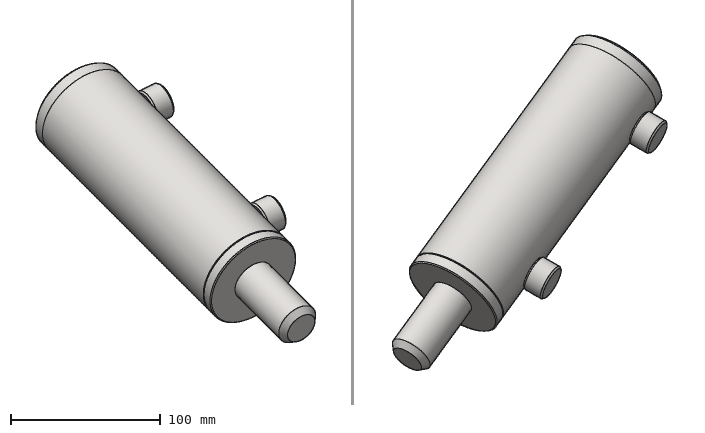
import cadquery as cq

TOTAL_LENGTH = 260.0
BODY_DIAMETER = 70.0
BODY_RADIUS = BODY_DIAMETER / 2

REAR_CAP_LENGTH = 9.5
GLAND_START = 196.0
GLAND_END = 204.5

REAR_CAP_CHAMFER = 1.8
GLAND_CHAMFER = 0.8

ROD_RADIUS = 15.0
ROD_CHAMFER_LENGTH = 4.7
ROD_CHAMFER_DEPTH = 4.0

PORT_RADIUS = 12.5
PORT_HEIGHT = 15.0
PORT_CHAMFER_LENGTH = 1.3
PORT_CHAMFER_DEPTH = 1.0
PORT_POSITIONS = (30.0, 160.0)


def axial_cylinder(start, end, radius):
    """Solid cylinder along X from start to end."""
    return cq.Workplane("YZ", origin=(start, 0, 0)).circle(radius).extrude(end - start)


def make_rear_cap():
    """End cap with a chamfered outer rim."""
    cap = axial_cylinder(0, REAR_CAP_LENGTH, BODY_RADIUS)
    return cap.faces("<X").chamfer(REAR_CAP_CHAMFER)


def make_barrel():
    """Plain barrel between the rear cap and the gland."""
    return axial_cylinder(REAR_CAP_LENGTH, GLAND_START, BODY_RADIUS)


def make_gland():
    """Front gland with both rims chamfered."""
    gland = axial_cylinder(GLAND_START, GLAND_END, BODY_RADIUS)
    return gland.edges().chamfer(GLAND_CHAMFER)


def make_rod():
    """Rod projecting from the gland, with a tapered tip."""
    tip_radius = ROD_RADIUS - ROD_CHAMFER_DEPTH
    taper_start = TOTAL_LENGTH - ROD_CHAMFER_LENGTH
    return (
        cq.Workplane("XY")
        .moveTo(GLAND_END, 0)
        .lineTo(GLAND_END, ROD_RADIUS)
        .lineTo(taper_start, ROD_RADIUS)
        .lineTo(TOTAL_LENGTH, tip_radius)
        .lineTo(TOTAL_LENGTH, 0)
        .close()
        .revolve(360, (0, 0, 0), (1, 0, 0))
    )


def make_port(x_position):
    """Round boss resting on the barrel's +Y line, both rims chamfered."""
    base = BODY_RADIUS
    top = base + PORT_HEIGHT
    rim_radius = PORT_RADIUS - PORT_CHAMFER_DEPTH
    return (
        cq.Workplane("XY")
        .moveTo(0, base)
        .lineTo(rim_radius, base)
        .lineTo(PORT_RADIUS, base + PORT_CHAMFER_LENGTH)
        .lineTo(PORT_RADIUS, top - PORT_CHAMFER_LENGTH)
        .lineTo(rim_radius, top)
        .lineTo(0, top)
        .close()
        .revolve(360, (0, 0, 0), (0, 1, 0))
        .translate((x_position, 0, 0))
    )


rear_cap = make_rear_cap()
barrel = make_barrel()
gland = make_gland()
rod = make_rod()
ports = [make_port(x_position) for x_position in PORT_POSITIONS]

result = cq.Compound.makeCompound([
    rear_cap.val(),
    barrel.val(),
    gland.val(),
    rod.val(),
    *[port.val() for port in ports],
])